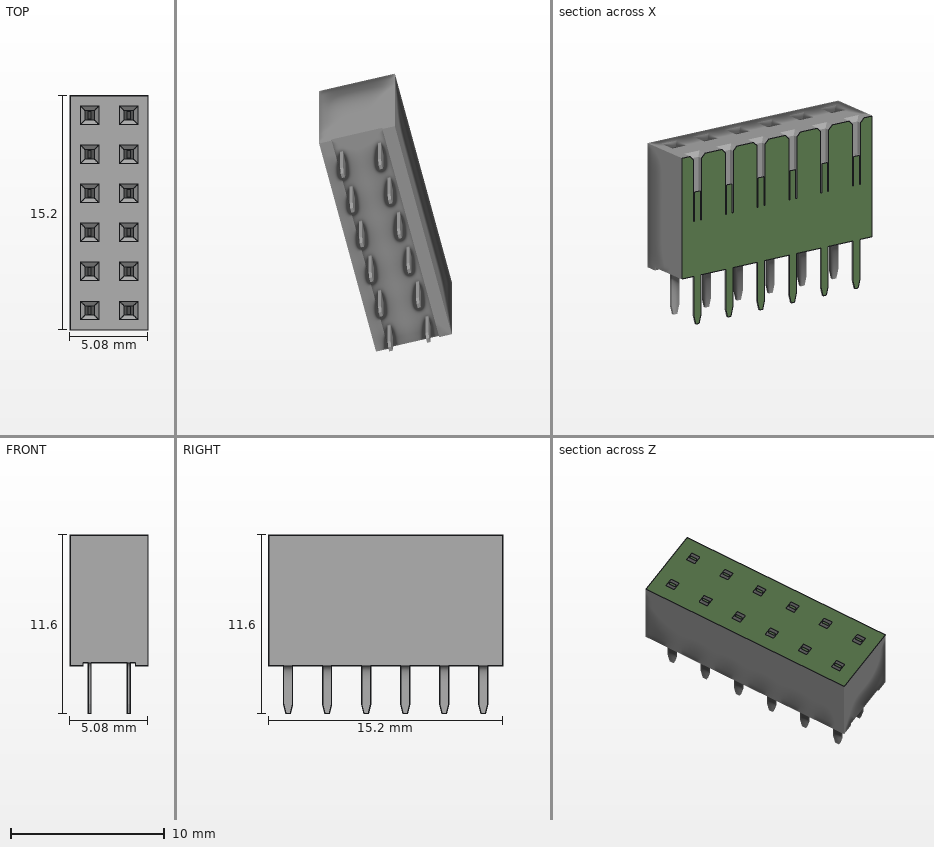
import cadquery as cq

PITCH = 2.54
COLUMNS = 2
ROWS = 6

HOUSING_X = COLUMNS * PITCH
HOUSING_Y = ROWS * PITCH
HOUSING_HEIGHT = 8.5
STANDOFF_HEIGHT = 0.2
STANDOFF_CHANNEL_WIDTH = 3.4

FUNNEL_MOUTH = 1.2
BORE_SIZE = 0.6
FUNNEL_DEPTH = 0.3
BORE_FLOOR_Z = 4.0

PIN_THICKNESS = 0.2
PIN_WIDTH = 0.6
PIN_TIP_WIDTH = 0.3
PIN_TAPER_LENGTH = 0.6
PIN_LENGTH_BELOW_HOUSING = 3.1
BLADE_WIDTH = 0.5
BLADE_HEIGHT = 2.0


def make_housing():
    """Rectangular block with a shallow channel along Y between two feet."""
    block = cq.Workplane("XY").box(
        HOUSING_X, HOUSING_Y, HOUSING_HEIGHT, centered=(True, True, False)
    )
    channel = cq.Workplane("XY").box(
        STANDOFF_CHANNEL_WIDTH, HOUSING_Y, STANDOFF_HEIGHT, centered=(True, True, False)
    )
    return block.cut(channel)


def make_socket():
    """Volume removed for one socket, centred on the Z axis."""
    funnel = (
        cq.Workplane("XY", origin=(0, 0, HOUSING_HEIGHT))
        .rect(FUNNEL_MOUTH, FUNNEL_MOUTH)
        .workplane(offset=-FUNNEL_DEPTH)
        .rect(BORE_SIZE, BORE_SIZE)
        .loft(ruled=True)
    )
    bore_depth = HOUSING_HEIGHT - FUNNEL_DEPTH - BORE_FLOOR_Z
    bore = cq.Workplane("XY", origin=(0, 0, BORE_FLOOR_Z)).box(
        BORE_SIZE, BORE_SIZE, bore_depth, centered=(True, True, False)
    )
    return funnel.union(bore)


def make_pin():
    """Flat pin with a tapered tip, ending at the channel roof where it enters the housing."""
    tip_z = -PIN_LENGTH_BELOW_HOUSING
    shoulder_z = tip_z + PIN_TAPER_LENGTH
    return (
        cq.Workplane("YZ")
        .polyline(
            [
                (-PIN_TIP_WIDTH / 2, tip_z),
                (PIN_TIP_WIDTH / 2, tip_z),
                (PIN_WIDTH / 2, shoulder_z),
                (PIN_WIDTH / 2, STANDOFF_HEIGHT),
                (-PIN_WIDTH / 2, STANDOFF_HEIGHT),
                (-PIN_WIDTH / 2, shoulder_z),
            ]
        )
        .close()
        .extrude(PIN_THICKNESS / 2, both=True)
    )


def make_blade():
    """Flat contact blade standing on the floor of a bore."""
    return cq.Workplane("XY", origin=(0, 0, BORE_FLOOR_Z)).box(
        PIN_THICKNESS, BLADE_WIDTH, BLADE_HEIGHT, centered=(True, True, False)
    )


def on_grid(feature):
    """Copies of a feature at every contact position."""
    positions = cq.Workplane("XY").rarray(PITCH, PITCH, COLUMNS, ROWS)
    return positions.eachpoint(lambda location: feature.val().moved(location))


housing = make_housing().cut(on_grid(make_socket()))
result = housing.union(on_grid(make_pin())).union(on_grid(make_blade()))